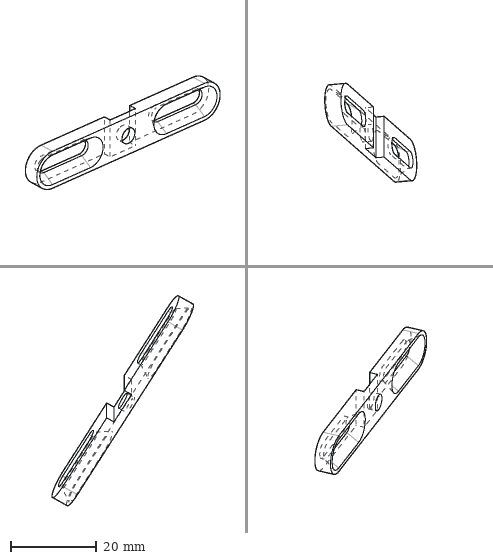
import cadquery as cq

length = 58.0
height = 10.0
thickness = 4.0

notch_width = 8.0
notch_depth = thickness / 2

hole_diameter = 4.0
slot_width = 4.0
slot_length = 16.0

land_depth = 1.0
countersink_growth = 2.0

end_center = (length - height) / 2
slot_center = end_center - (slot_length - slot_width) / 2

face_plane = cq.Workplane("YZ").workplane(offset=-thickness / 2)

bar = face_plane.slot2D(length, height).extrude(thickness)
notch = face_plane.rect(notch_width, height).extrude(notch_depth)
center_hole = face_plane.circle(hole_diameter / 2).extrude(thickness)


def countersunk_slot(center_y):
    """Slot through the bar, flared evenly on all sides towards the +X face."""
    plane = face_plane.center(center_y, 0)
    straight_slot = plane.slot2D(slot_length, slot_width).extrude(thickness)
    rim_length = slot_length + 2 * countersink_growth
    rim_width = slot_width + 2 * countersink_growth
    flare = (
        plane.workplane(offset=land_depth)
        .slot2D(slot_length, slot_width)
        .workplane(offset=thickness - land_depth)
        .slot2D(rim_length, rim_width)
        .loft(ruled=True)
    )
    return straight_slot.union(flare)


result = bar.cut(notch).cut(center_hole)
for center_y in (-slot_center, slot_center):
    result = result.cut(countersunk_slot(center_y))